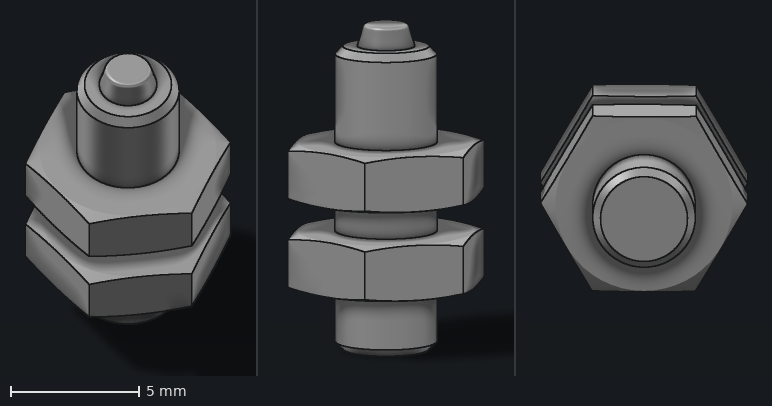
import cadquery as cq
import math

TOTAL_HEIGHT = 12.9
BARREL_DIAMETER = 4.0
BARREL_HEIGHT = 12.0
BARREL_END_DIAMETER = 3.39
BARREL_CHAMFER_HEIGHT = 0.31
TIP_BASE_DIAMETER = 2.25
TIP_TOP_DIAMETER = 1.75
TIP_EDGE_RADIUS = 0.2

NUT_ACROSS_FLATS = 7.0
NUT_HEIGHT = 2.2
NUT_FACE_DIAMETER = 6.9
NUT_CHAMFER_ANGLE = 15.0
NUT_BOTTOMS = (2.49, 6.0)


def make_barrel():
    """Plain barrel chamfered at both ends, carrying a rounded conical tip."""
    radius = BARREL_DIAMETER / 2
    end_radius = BARREL_END_DIAMETER / 2
    barrel = (
        cq.Workplane("XZ")
        .moveTo(0, 0)
        .lineTo(end_radius, 0)
        .lineTo(radius, BARREL_CHAMFER_HEIGHT)
        .lineTo(radius, BARREL_HEIGHT - BARREL_CHAMFER_HEIGHT)
        .lineTo(end_radius, BARREL_HEIGHT)
        .lineTo(TIP_BASE_DIAMETER / 2, BARREL_HEIGHT)
        .lineTo(TIP_TOP_DIAMETER / 2, TOTAL_HEIGHT)
        .lineTo(0, TOTAL_HEIGHT)
        .close()
        .revolve(360, (0, 0, 0), (0, 1, 0))
    )
    return barrel.faces(">Z").edges().fillet(TIP_EDGE_RADIUS)


def make_nut(bottom):
    """Hexagonal nut, corners on the Y axis, with conical chamfers on both faces."""
    corner_radius = NUT_ACROSS_FLATS / math.sqrt(3)
    face_radius = NUT_FACE_DIAMETER / 2
    chamfer_height = (corner_radius - face_radius) * math.tan(math.radians(NUT_CHAMFER_ANGLE))

    hexagon = (
        cq.Workplane("XY")
        .polygon(6, 2 * corner_radius)
        .extrude(NUT_HEIGHT)
        .rotate((0, 0, 0), (0, 0, 1), 90)
    )
    chamfer_envelope = (
        cq.Workplane("XZ")
        .moveTo(0, 0)
        .lineTo(face_radius, 0)
        .lineTo(corner_radius, chamfer_height)
        .lineTo(corner_radius, NUT_HEIGHT - chamfer_height)
        .lineTo(face_radius, NUT_HEIGHT)
        .lineTo(0, NUT_HEIGHT)
        .close()
        .revolve(360, (0, 0, 0), (0, 1, 0))
    )
    bore = cq.Workplane("XY").circle(BARREL_DIAMETER / 2).extrude(NUT_HEIGHT)
    return hexagon.intersect(chamfer_envelope).cut(bore).translate((0, 0, bottom))


barrel = make_barrel()
nuts = [make_nut(bottom) for bottom in NUT_BOTTOMS]

result = cq.Compound.makeCompound([barrel.val(), *[nut.val() for nut in nuts]])